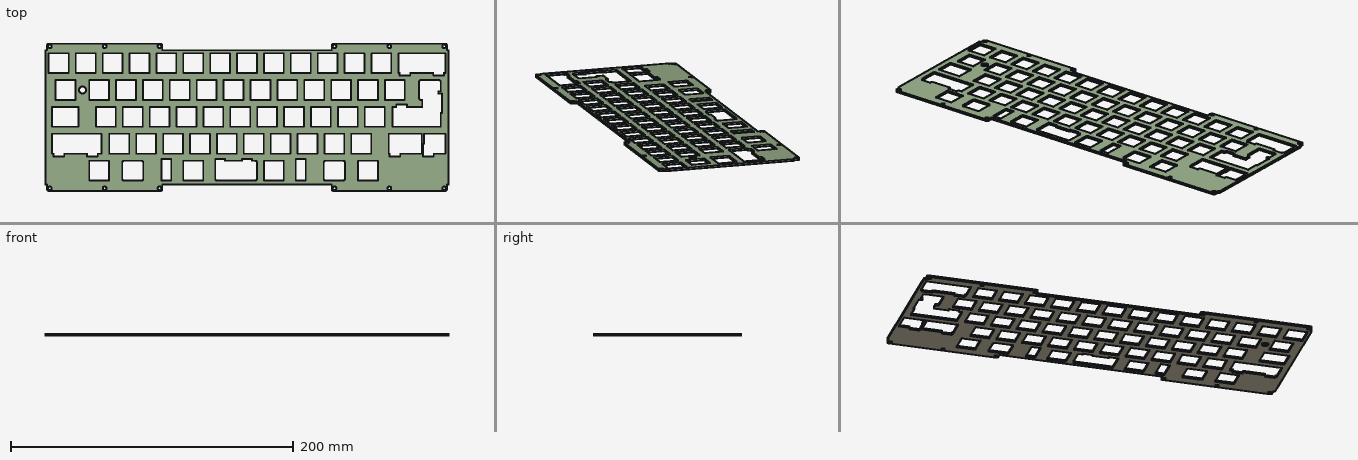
import cadquery as cq

plate_width = 285.8
overall_depth = 104.5
thickness = 1.5
units_across = 15
row_count = 5
key_unit = plate_width / units_across
plate_depth = row_count * key_unit

screw_diameter = 2.5
screw_margin = 2.0
tab_corner_round = 1.5
screw_x = (62.0, 101.0, 139.7)
screw_y = overall_depth / 2 - screw_margin
tab_inner = screw_x[0] - screw_margin
tab_outer = screw_x[-1] + screw_margin

NUMBER_ROW, TAB_ROW, CAPS_ROW, SHIFT_ROW, SPACE_ROW = range(row_count)
row_shift = 0.3

switch_web = 5.1
switch_size = key_unit - switch_web
half_switch = switch_size / 2
corner_round = 1.1

switch_runs = (
    (NUMBER_ROW, 0.5, 12.5),
    (TAB_ROW, 0.75, 0.75),
    (TAB_ROW, 2.0, 13.0),
    (CAPS_ROW, 2.25, 12.25),
    (SHIFT_ROW, 2.75, 11.75),
    (SPACE_ROW, 2.0, 2.0),
    (SPACE_ROW, 5.5, 5.5),
    (SPACE_ROW, 8.5, 8.5),
    (SPACE_ROW, 12.0, 12.0),
)

modifier_units = (3.25, 10.75)
modifier_width = 15.0

outer_limit = 140.5
wide_left = -138.0
caps_right = -119.5
left_shift_right = -103.2
backspace_left = 107.5
right_shift_left = 100.5
shift_bridge_left = 123.7
shift_bridge_right = 125.5

stabilizer_offset = 11.92
stabilizer_width = 7.5
stabilizer_depth = 2.0
shallow_notch_depth = 1.7
backspace_unit = 14
left_shift_unit = 1.125
right_shift_unit = 13.625
enter_unit = 13.875

enter_upper_left = 122.0
enter_lower_left = 103.2
enter_right = 137.2
enter_slot_left = 124.3
enter_slot_right = 138.0
enter_slot_bottom = 3.1
enter_slot_top = 17.0
tooth_tip = 135.5
tooth_height = 1.7

space_slot_width = 7.0
space_slot_rise = 1.1
space_notch_units = (6.5, 7.5)
space_slot_units = (4.5, 9.5)

round_hole_diameter = 5.0
round_hole_x = -116.5


def key_x(units):
    """X of a place counted in key units from the left edge."""
    return units * key_unit - plate_width / 2


def row_y(row):
    """Y of the centre line of a row."""
    return ((row_count - 1) / 2 - row) * key_unit + row_shift


def box(left, right, bottom, top, radius=0.0):
    """Rectangular block as thick as the plate, with rounded corners if asked."""
    block = (
        cq.Workplane("XY")
        .center((left + right) / 2, (bottom + top) / 2)
        .rect(right - left, top - bottom)
        .extrude(thickness)
    )
    if radius > 0:
        block = block.edges("|Z").fillet(radius)
    return block


def row_opening(row, left, right, radius=0.0):
    """Cutter as deep as a switch, centred on a row."""
    y = row_y(row)
    return box(left, right, y - half_switch, y + half_switch, radius)


def front_notch(row, x, depth):
    """Stabilizer notch past the front edge of a row's openings."""
    half = stabilizer_width / 2
    return box(x - half, x + half, row_y(row) - half_switch - depth, row_y(row))


def front_notch_pair(row, unit, depth):
    """Two front stabilizer notches about the centre of a wide key."""
    x = key_x(unit)
    left_notch = front_notch(row, x - stabilizer_offset, depth)
    return left_notch.union(front_notch(row, x + stabilizer_offset, depth))


def make_plate():
    """Plate body with screw tabs and screw holes."""
    half_depth = overall_depth / 2
    plate = cq.Workplane("XY").rect(plate_width, plate_depth).extrude(thickness)
    tabs = box(tab_inner, tab_outer, -half_depth, half_depth, tab_corner_round)
    plate = plate.union(tabs).union(tabs.mirror("YZ"))
    points = [(sx * x, sy * screw_y) for x in screw_x for sx in (-1, 1) for sy in (-1, 1)]
    screws = cq.Workplane("XY").pushPoints(points).circle(screw_diameter / 2).extrude(thickness)
    return plate.cut(screws)


def cut_switches(plate):
    """Single switch openings, modifier openings and the round hole."""
    for row, first, last in switch_runs:
        for step in range(int(last - first) + 1):
            x = key_x(first + step)
            plate = plate.cut(row_opening(row, x - half_switch, x + half_switch))
    plate = plate.cut(row_opening(NUMBER_ROW, -outer_limit, key_x(switch_runs[0][1])))
    for unit in modifier_units:
        left = key_x(unit) - modifier_width / 2
        plate = plate.cut(row_opening(SPACE_ROW, left, left + modifier_width, corner_round))
    round_hole = (
        cq.Workplane("XY")
        .center(round_hole_x, row_y(TAB_ROW))
        .circle(round_hole_diameter / 2)
        .extrude(thickness)
    )
    return plate.cut(round_hole)


def cut_wide_keys(plate):
    """Backspace, caps lock and both shift keys; right shift is split by a thin bridge."""
    plate = plate.cut(row_opening(NUMBER_ROW, backspace_left, outer_limit))
    plate = plate.cut(front_notch_pair(NUMBER_ROW, backspace_unit, shallow_notch_depth))
    plate = plate.cut(row_opening(CAPS_ROW, wide_left, caps_right))
    plate = plate.cut(row_opening(SHIFT_ROW, wide_left, left_shift_right))
    plate = plate.cut(front_notch_pair(SHIFT_ROW, left_shift_unit, stabilizer_depth))
    plate = plate.cut(row_opening(SHIFT_ROW, right_shift_left, shift_bridge_left))
    plate = plate.cut(row_opening(SHIFT_ROW, shift_bridge_right, outer_limit))
    return plate.cut(front_notch_pair(SHIFT_ROW, right_shift_unit, stabilizer_depth))


def cut_enter(plate):
    """Enter: upper and lower openings joined by a slot, a rear notch and a tooth."""
    lower_y = row_y(CAPS_ROW)
    notch_x = key_x(enter_unit) - stabilizer_offset
    notch_left = notch_x - stabilizer_width / 2
    notch_right = notch_x + stabilizer_width / 2
    notch_top = lower_y + half_switch + shallow_notch_depth
    plate = plate.cut(row_opening(TAB_ROW, enter_upper_left, enter_right, corner_round))
    plate = plate.cut(row_opening(CAPS_ROW, enter_lower_left, enter_right))
    plate = plate.cut(box(enter_slot_left, enter_right, lower_y, enter_slot_top))
    plate = plate.cut(box(enter_right, enter_slot_right, enter_slot_bottom, enter_slot_top))
    plate = plate.cut(box(notch_left, notch_right, lower_y, notch_top))
    tooth = box(tooth_tip, enter_slot_right, enter_slot_top, enter_slot_top + tooth_height)
    return plate.union(tooth)


def cut_space_bar(plate):
    """Space bar: central opening with rear notches and a slot near each end."""
    half_slot = space_slot_width / 2
    centre_y = row_y(SPACE_ROW)
    slot_bottom = centre_y - half_switch
    slot_top = centre_y + half_switch + space_slot_rise
    left = key_x(space_notch_units[0]) - half_slot
    right = key_x(space_notch_units[1]) + half_switch
    plate = plate.cut(row_opening(SPACE_ROW, left, right, corner_round))
    for unit in space_notch_units:
        x = key_x(unit)
        plate = plate.cut(box(x - half_slot, x + half_slot, centre_y, slot_top))
    for unit in space_slot_units:
        x = key_x(unit)
        plate = plate.cut(box(x - half_slot, x + half_slot, slot_bottom, slot_top))
    return plate


result = make_plate()
result = cut_switches(result)
result = cut_wide_keys(result)
result = cut_enter(result)
result = cut_space_bar(result)